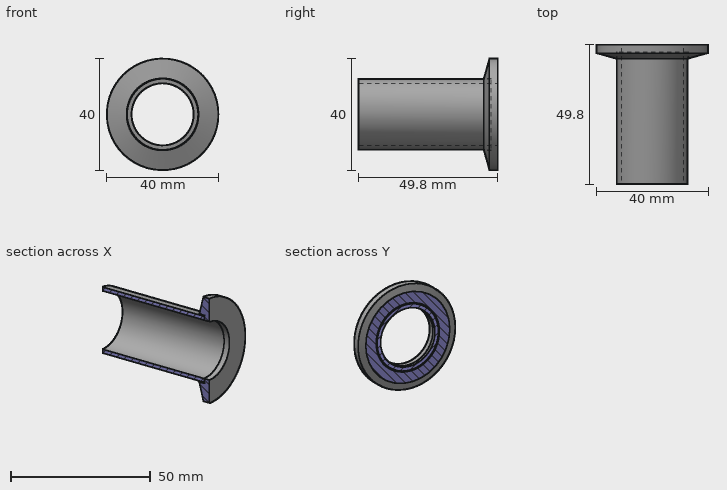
import cadquery as cq

total_length = 49.8
y_back = total_length / 2
y_front = -total_length / 2

bore_diameter = 22.1

flange_diameter = 40.0
rim_thickness = 3.0
flange_thickness = 5.0
socket_diameter = 25.8
socket_depth = flange_thickness / 2
y_rim = y_back - rim_thickness
y_mouth = y_back - flange_thickness
y_shoulder = y_mouth + socket_depth

tube_diameter = 25.4


def revolve_about_y(profile):
    """Revolve a closed (radius, y) profile a full turn about the Y axis."""
    return cq.Workplane("XY").polyline(profile).close().revolve(360, (0, 0), (0, 1))


def make_tube():
    inner = bore_diameter / 2
    outer = tube_diameter / 2
    return revolve_about_y([
        (inner, y_front),
        (outer, y_front),
        (outer, y_shoulder),
        (inner, y_shoulder),
    ])


def make_flange():
    inner = bore_diameter / 2
    socket = socket_diameter / 2
    outer = flange_diameter / 2
    return revolve_about_y([
        (inner, y_back),
        (outer, y_back),
        (outer, y_rim),
        (socket, y_mouth),
        (socket, y_shoulder),
        (inner, y_shoulder),
    ])


tube = make_tube()
flange = make_flange()
result = cq.Compound.makeCompound([tube.val(), flange.val()])